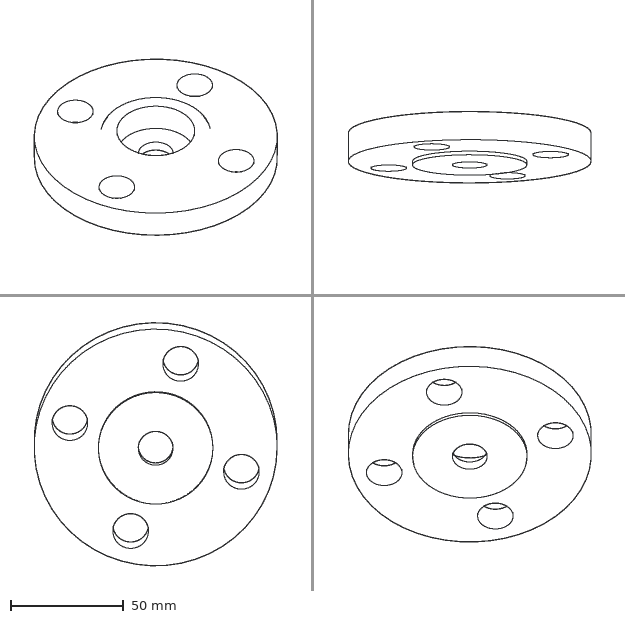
import cadquery as cq
import math


flange_diameter = 107.9
flange_thickness = 12.7
raised_face_diameter = 50.8
raised_face_height = 1.6

hub_top_diameter = 48.2
hub_taper = 10.0
hub_height = 3.0
hub_fillet_radius = 1.6

socket_diameter = 34.5
socket_depth = 12.7
bore_diameter = 15.3

bolt_hole_count = 4
bolt_hole_diameter = 15.8
bolt_circle_diameter = 79.3

flange_top = raised_face_height + flange_thickness
total_height = flange_top + hub_height
hub_top_radius = hub_top_diameter / 2
hub_base_radius = hub_top_radius + hub_height * math.tan(math.radians(hub_taper))


def disc(diameter, bottom, height):
    """Solid cylinder on the Z axis, standing on the level `bottom`."""
    return cq.Workplane("XY").workplane(offset=bottom).circle(diameter / 2).extrude(height)


def body():
    """Solid flange: raised face, disc and tapered hub with filleted edges."""
    raised_face = disc(raised_face_diameter, 0, raised_face_height)
    flange = disc(flange_diameter, raised_face_height, flange_thickness)
    hub_base_centre = cq.Vector(0, 0, flange_top)
    hub = cq.Solid.makeCone(hub_base_radius, hub_top_radius, hub_height, hub_base_centre)
    blank = flange.union(raised_face).union(cq.Workplane(hub))
    hub_top_edge = cq.selectors.RadiusNthSelector(0)
    hub_foot_edge = cq.selectors.RadiusNthSelector(1)
    return blank.edges(hub_top_edge + hub_foot_edge).fillet(hub_fillet_radius)


def bolt_holes():
    """Cutters for the ring of through bolt holes."""
    return (
        cq.Workplane("XY")
        .polarArray(bolt_circle_diameter / 2, 0, 360, bolt_hole_count)
        .circle(bolt_hole_diameter / 2)
        .extrude(total_height)
    )


bore = disc(bore_diameter, 0, total_height)
socket = disc(socket_diameter, total_height - socket_depth, socket_depth)

result = body().cut(bore).cut(socket).cut(bolt_holes())